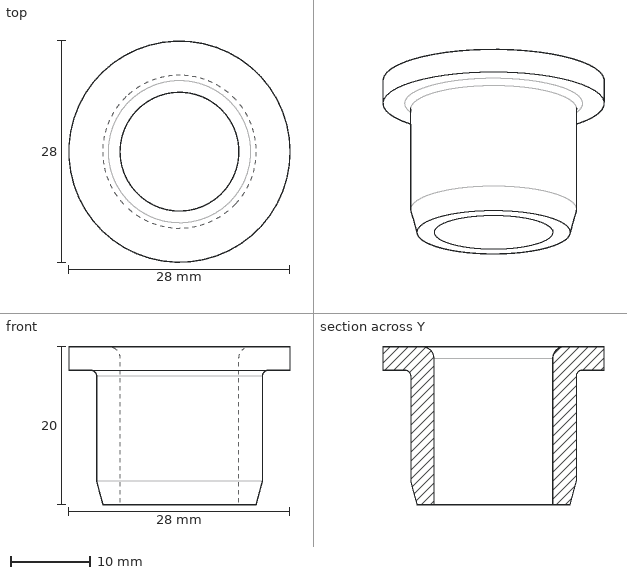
import cadquery as cq
import math

total_height = 20.0
flange_diameter = 28.0
flange_thickness = 3.0
sleeve_diameter = 21.0
bore_diameter = 15.0
mouth_radius = 1.5
neck_radius = 0.75
lead_in_height = 3.0
lead_in_angle = 15.0

flange_base_z = total_height - flange_thickness
lead_in_inset = lead_in_height * math.tan(math.radians(lead_in_angle))


def make_sleeve():
    """Solid cylinder with a tapered lower end, reaching up to the flange."""
    sleeve_radius = sleeve_diameter / 2
    return (
        cq.Workplane("XZ")
        .lineTo(sleeve_radius - lead_in_inset, 0)
        .lineTo(sleeve_radius, lead_in_height)
        .lineTo(sleeve_radius, flange_base_z)
        .lineTo(0, flange_base_z)
        .close()
        .revolve(360, (0, 0), (0, 1))
    )


def make_flange():
    """Round plate at the top of the sleeve."""
    return (
        cq.Workplane("XY", origin=(0, 0, flange_base_z))
        .circle(flange_diameter / 2)
        .extrude(flange_thickness)
    )


def fillet_neck(body):
    """Round the inside corner where the sleeve meets the flange."""
    flange_underside = body.faces(cq.selectors.NearestToPointSelector((0, 0, flange_base_z)))
    neck_edge = flange_underside.edges(cq.selectors.RadiusNthSelector(0))
    return neck_edge.fillet(neck_radius)


def cut_bore(body):
    """Cut the through bore and round its upper mouth."""
    bored = body.faces(">Z").workplane().hole(bore_diameter)
    mouth_edge = bored.faces(">Z").edges(cq.selectors.RadiusNthSelector(0))
    return mouth_edge.fillet(mouth_radius)


body = make_sleeve().union(make_flange())
result = cut_bore(fillet_neck(body))